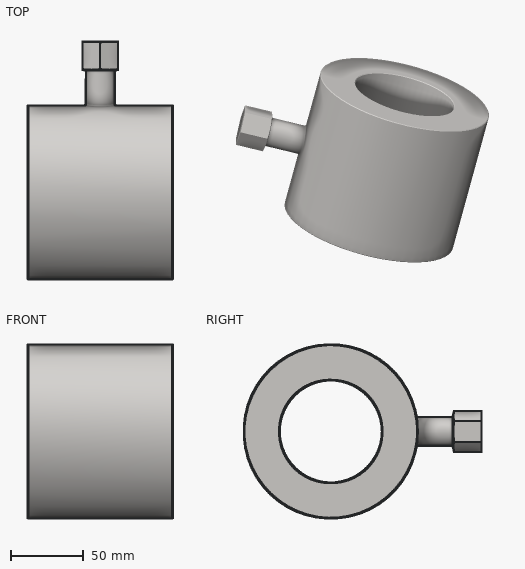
import cadquery as cq

ring_length = 100.0
ring_diameter = 120.0
bore_diameter = 70.4
rim_chamfer = 0.5

total_depth = 164.0
stem_diameter = 20.0
hex_across_flats = 24.6
hex_length = 20.0
hex_taper_length = 1.0
root_fillet = 1.0
root_search_margin = 3.3

ring_radius = ring_diameter / 2
fitting_end = total_depth - ring_radius
hex_start = fitting_end - hex_length
hex_across_corners = 2 * hex_across_flats / 3**0.5


def along_y(start):
    """Workplane across the fitting axis, with its normal toward +Y."""
    plane = cq.Plane(origin=(0, start, 0), xDir=(1, 0, 0), normal=(0, 1, 0))
    return cq.Workplane(plane)


def make_ring():
    """Solid ring blank with chamfered outer rims."""
    blank = cq.Workplane("YZ").circle(ring_radius).extrude(ring_length / 2, both=True)
    return blank.faces("<X or >X").chamfer(rim_chamfer)


def make_stem():
    """Round stem from inside the ring to the hexagon."""
    return along_y(0).circle(stem_diameter / 2).extrude(hex_start)


def make_hex_head():
    """Hexagon with corners toward +Z and -Z and a conical inner end."""
    head = (
        along_y(hex_start)
        .transformed(rotate=(0, 0, 90))
        .polygon(6, hex_across_corners)
        .extrude(hex_length)
    )
    taper_end = hex_start + hex_taper_length
    envelope = (
        cq.Workplane("XY")
        .moveTo(0, hex_start)
        .lineTo(stem_diameter / 2, hex_start)
        .lineTo(hex_across_corners / 2, taper_end)
        .lineTo(hex_across_corners / 2, fitting_end)
        .lineTo(0, fitting_end)
        .close()
        .revolve(360, (0, 0, 0), (0, 1, 0))
    )
    return head.intersect(envelope)


def make_bore():
    """Through bore with a chamfer at each mouth."""
    half_length = ring_length / 2
    bore_radius = bore_diameter / 2
    mouth_radius = bore_radius + rim_chamfer
    return (
        cq.Workplane("XY")
        .moveTo(-half_length, 0)
        .lineTo(-half_length, mouth_radius)
        .lineTo(-half_length + rim_chamfer, bore_radius)
        .lineTo(half_length - rim_chamfer, bore_radius)
        .lineTo(half_length, mouth_radius)
        .lineTo(half_length, 0)
        .close()
        .revolve(360, (0, 0, 0), (1, 0, 0))
    )


body = make_ring().union(make_stem())

stem_root = cq.selectors.BoxSelector(
    (-stem_diameter, ring_radius - root_search_margin, -stem_diameter),
    (stem_diameter, ring_radius + root_search_margin, stem_diameter),
)
body = body.edges(stem_root).fillet(root_fillet)

result = body.union(make_hex_head()).cut(make_bore())